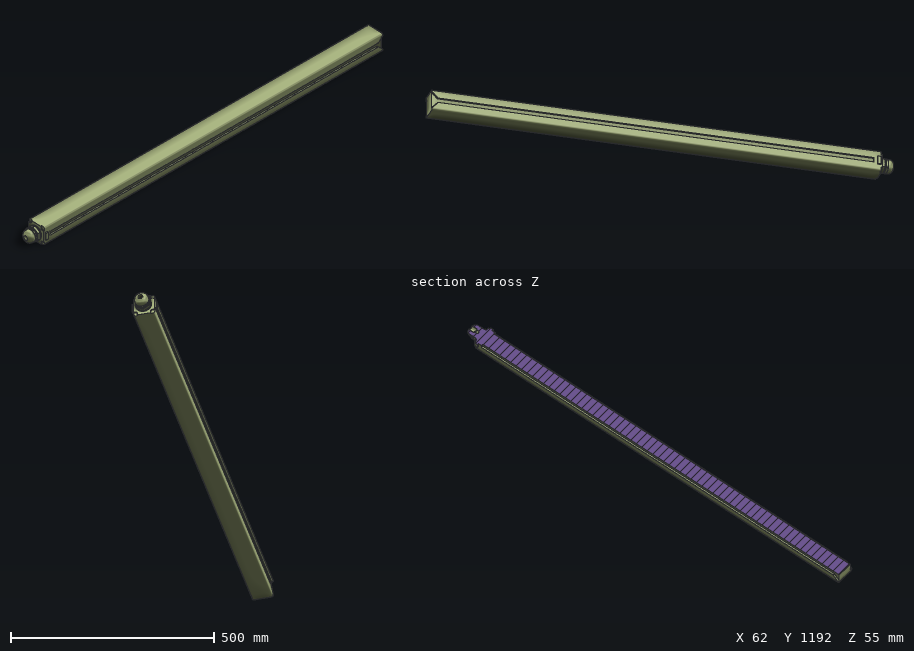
import cadquery as cq
import math

overall_length = 1192.0
housing_length = 1157.0
housing_width = 54.0
housing_height = 55.0
corner_radius = 5.9
overall_width = 62.0

slot_depth = 5.0
slot_height = 12.0
slot_front = 22.0
mouth_height = 42.0
mouth_length = (mouth_height - slot_height) / 2.0

pad_front = 4.0
pad_length = 8.5
pad_height = 21.0

corner_recess_depth = 3.0
corner_recess = 10.0
corner_recess_radius = 4.0

gland_length = overall_length - housing_length
washer_length = 3.0
washer_diameter = 39.0
nut_across_flats = 36.0
nut_sides = 6
nut_across_corners = nut_across_flats / math.cos(math.pi / nut_sides)
base_nut_length = 7.5
neck_length = 2.5
neck_diameter = 33.0
cap_nut_length = 6.0
cap_nut_chamfer = 3.0
washer_front = -washer_length
base_front = washer_front - base_nut_length
neck_front = base_front - neck_length
cap_front = neck_front - cap_nut_length
dome_front = -gland_length
dome_length = cap_front - dome_front
dome_base_radius = 17.5
dome_tip_radius = 7.5
dome_bulge = 4.5
bore_diameter = 12.0
bore_depth = 16.0
cable_hole_diameter = 7.0
cable_hole_depth = 25.0


def front_plane(y):
    """Workplane facing -Y at the given Y position."""
    return cq.Workplane("XZ", origin=(0, y, 0))


def make_housing():
    bar = front_plane(0).rect(housing_width, housing_height).extrude(-housing_length)
    return bar.edges("|Y").fillet(corner_radius)


def make_slot(side):
    """Side slot open at the far end, where it widens to a 45 degree mouth."""
    half_slot = slot_height / 2.0
    half_mouth = mouth_height / 2.0
    mouth_start = housing_length - mouth_length
    outline = [
        (slot_front, -half_slot),
        (mouth_start, -half_slot),
        (housing_length, -half_mouth),
        (housing_length, half_mouth),
        (mouth_start, half_slot),
        (slot_front, half_slot),
    ]
    floor = side * (housing_width / 2.0 - slot_depth)
    plane = cq.Workplane("YZ", origin=(floor, 0, 0))
    return plane.polyline(outline).close().extrude(side * slot_depth)


def make_latch_pads():
    """One bar through the housing, showing as a pad on each side."""
    center_y = pad_front + pad_length / 2.0
    pads = cq.Workplane("XY").box(overall_width, pad_length, pad_height)
    return pads.translate((0, center_y, 0))


def make_corner_recesses():
    """Rounded steps cut into the four corners of the gland end."""
    tool_size = 2.0 * corner_recess
    corner_x = housing_width / 2.0
    corner_z = housing_height / 2.0
    corners = [(sx * corner_x, sz * corner_z) for sx in (-1, 1) for sz in (-1, 1)]
    squares = front_plane(0).pushPoints(corners).rect(tool_size, tool_size)
    tools = squares.extrude(-corner_recess_depth)
    return tools.edges("|Y").fillet(corner_recess_radius)


def make_disc(front_y, length, diameter):
    """Round disc along Y whose -Y face is at front_y."""
    return front_plane(front_y).circle(diameter / 2.0).extrude(-length)


def make_nut(front_y, length):
    """Hexagonal nut with two corners on the Z axis."""
    nut = front_plane(front_y).polygon(nut_sides, nut_across_corners).extrude(-length)
    return nut.rotate((0, 0, 0), (0, 1, 0), 180.0 / nut_sides)


def make_cap_nut():
    """Hexagonal nut with its -Y corners turned down to a cone."""
    blank = make_disc(cap_front, cap_nut_length, nut_across_corners)
    turned_blank = blank.edges("<Y").chamfer(cap_nut_chamfer)
    return make_nut(cap_front, cap_nut_length).intersect(turned_blank)


def make_dome():
    """Rounded clamping cap, revolved about the Y axis from an arc profile."""
    radius_drop = dome_base_radius - dome_tip_radius
    chord = math.hypot(radius_drop, dome_length)
    arc_middle = (
        (cap_front + dome_front) / 2.0 - dome_bulge * radius_drop / chord,
        (dome_base_radius + dome_tip_radius) / 2.0 + dome_bulge * dome_length / chord,
    )
    profile = (
        cq.Workplane("YZ")
        .moveTo(cap_front, 0)
        .lineTo(cap_front, dome_base_radius)
        .threePointArc(arc_middle, (dome_front, dome_tip_radius))
        .lineTo(dome_front, 0)
        .close()
    )
    return profile.revolve(360, (0, 0, 0), (1, 0, 0))


def make_gland():
    washer = make_disc(washer_front, washer_length, washer_diameter)
    base_nut = make_nut(base_front, base_nut_length)
    neck = make_disc(neck_front, neck_length, neck_diameter)
    gland = washer.union(base_nut).union(neck).union(make_cap_nut()).union(make_dome())
    bore = make_disc(dome_front, bore_depth, bore_diameter)
    cable_hole = make_disc(dome_front, cable_hole_depth, cable_hole_diameter)
    return gland.cut(bore).cut(cable_hole)


body = make_housing()
for slot_side in (-1, 1):
    body = body.cut(make_slot(slot_side))
body = body.cut(make_corner_recesses())
result = body.union(make_latch_pads()).union(make_gland())